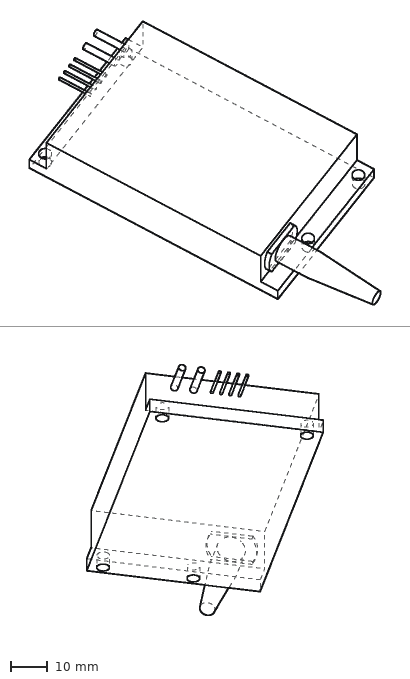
import cadquery as cq
import math

box_length = 69.0
plate_overhang = 5.5
plate_length = box_length + 2 * plate_overhang
depth = 48.0
height = 16.0
plate_thickness = 4.0

hole_diameter = 3.4
hole_end_inset = 2.5
hole_side_inset = 4.0
right_hole_spacing = 25.0

pin_length = 10.1
pin_z = height - 3.6
power_pin_diameter = 2.0
power_pin_count = 2
power_pin_pitch = 5.3
first_power_pin_inset = 8.0
signal_pin_diameter = 0.8
signal_pin_count = 4
signal_pin_pitch = 2.5
first_signal_pin_inset = 18.3

boot_y = -depth / 2 + 9.0
boot_z = 10.0
flange_diameter = 14.0
flange_height = 8.2
flange_thickness = 1.4
sleeve_length = 10.1
sleeve_diameter = 7.8
taper_length = 20.0
tip_diameter = 4.2

back_y = depth / 2
left_wall_x = -box_length / 2
right_wall_x = box_length / 2


def make_base():
    plate = cq.Workplane("XY").box(plate_length, depth, plate_thickness, centered=(True, True, False))
    box = cq.Workplane("XY").box(box_length, depth, height, centered=(True, True, False))
    return plate.union(box)


def make_mounting_holes():
    hole_x = plate_length / 2 - hole_end_inset
    hole_y = back_y - hole_side_inset
    centers = [
        (-hole_x, hole_y),
        (-hole_x, -hole_y),
        (hole_x, hole_y),
        (hole_x, hole_y - right_hole_spacing),
    ]
    return cq.Workplane("XY").pushPoints(centers).circle(hole_diameter / 2).extrude(plate_thickness)


def make_pin_row(diameter, count, pitch, first_inset):
    """Pins that stand out of the -X wall, spaced from the back toward the front."""
    centers = [(back_y - first_inset - i * pitch, pin_z) for i in range(count)]
    wall = cq.Workplane("YZ", origin=(left_wall_x, 0, 0))
    return wall.pushPoints(centers).circle(diameter / 2).extrude(-pin_length)


def make_housing():
    power_pins = make_pin_row(
        power_pin_diameter, power_pin_count, power_pin_pitch, first_power_pin_inset
    )
    signal_pins = make_pin_row(
        signal_pin_diameter, signal_pin_count, signal_pin_pitch, first_signal_pin_inset
    )
    return make_base().cut(make_mounting_holes()).union(power_pins).union(signal_pins)


def make_flange():
    """Disc with a flat on its top and bottom."""
    radius = flange_diameter / 2
    half_height = flange_height / 2
    half_flat = math.sqrt(radius**2 - half_height**2)
    return (
        cq.Workplane("YZ", origin=(right_wall_x, boot_y, boot_z))
        .moveTo(-half_flat, half_height)
        .lineTo(half_flat, half_height)
        .threePointArc((radius, 0), (half_flat, -half_height))
        .lineTo(-half_flat, -half_height)
        .threePointArc((-radius, 0), (-half_flat, half_height))
        .close()
        .extrude(flange_thickness)
    )


def make_boot():
    taper_start = flange_thickness + sleeve_length
    tip = taper_start + taper_length
    stem = (
        cq.Workplane("XZ", origin=(right_wall_x, boot_y, boot_z))
        .polyline([
            (flange_thickness, 0),
            (flange_thickness, sleeve_diameter / 2),
            (taper_start, sleeve_diameter / 2),
            (tip, tip_diameter / 2),
            (tip, 0),
        ])
        .close()
        .revolve(360, (0, 0, 0), (1, 0, 0))
    )
    return make_flange().union(stem)


housing = make_housing()
boot = make_boot()
result = cq.Compound.makeCompound([housing.solids().val(), boot.solids().val()])